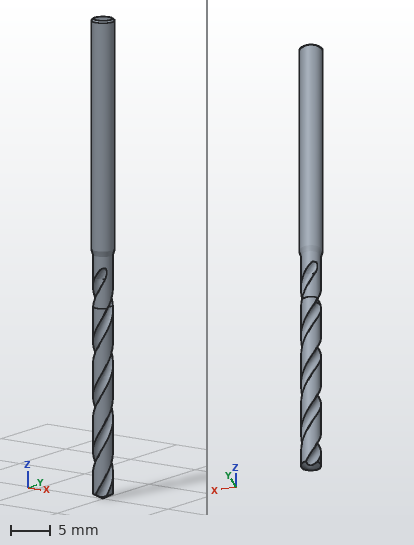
import cadquery as cq
import math

total_length = 62.0
joint_height = 24.8
neck_top = 31.5
shank_bottom = 32.25

shank_diameter = 3.0
drill_diameter = 2.55
point_angle = 125.0
chamfer_width = 0.3
chamfer_height = 0.25

flute_count = 2
flute_pitch = 14.15
flute_depth = 0.62
cutter_radius = 0.87
flute_start = -0.5
joint_overrun = 0.5
flute_end = 28.5
flute_end_angle = -79.0
runout_top = 30.0
runout_drift = 0.3

shank_radius = shank_diameter / 2
drill_radius = drill_diameter / 2
point_height = drill_radius / math.tan(math.radians(point_angle / 2))
cutter_distance = drill_radius - flute_depth + cutter_radius


def turn_about_z(shape, angle):
    return shape.rotate((0, 0, 0), (0, 0, 1), angle)


def cutting_blank():
    """Lower body before fluting: a plain rod with a conical point."""
    return (
        cq.Workplane("XZ")
        .lineTo(drill_radius, point_height)
        .lineTo(drill_radius, joint_height)
        .lineTo(0, joint_height)
        .close()
        .revolve(360, (0, 0), (0, 1))
    )


def shank_blank():
    """Upper body before fluting: the neck, the taper and the chamfered shank."""
    return (
        cq.Workplane("XZ")
        .moveTo(0, joint_height)
        .lineTo(drill_radius, joint_height)
        .lineTo(drill_radius, neck_top)
        .lineTo(shank_radius, shank_bottom)
        .lineTo(shank_radius, total_length - chamfer_height)
        .lineTo(shank_radius - chamfer_width, total_length)
        .lineTo(0, total_length)
        .close()
        .revolve(360, (0, 0), (0, 1))
    )


def helical_cutter(bottom, top, end_angle):
    """Round cutter twisted about Z, on the helix that reaches end_angle at flute_end."""
    turn_per_height = 360 / flute_pitch
    cutter = (
        cq.Workplane("XY")
        .pushPoints([(cutter_distance, 0)])
        .circle(cutter_radius)
        .twistExtrude(top - bottom, turn_per_height * (top - bottom))
        .translate((0, 0, bottom))
    )
    return turn_about_z(cutter, end_angle - turn_per_height * (flute_end - bottom))


def runout_cutter(end_angle):
    """Straight continuation of the cutter above the helix, ending level."""
    rise = runout_top - flute_end
    tangent_shift = rise * 2 * math.pi * cutter_distance / flute_pitch
    center = cq.Vector(cutter_distance, 0, flute_end)
    section = cq.Wire.makeCircle(cutter_radius, center, cq.Vector(0, 0, 1))
    cutter = cq.Solid.extrudeLinear(section, [], cq.Vector(runout_drift, tangent_shift, rise))
    return turn_about_z(cq.Workplane(cutter), end_angle)


cutting_part = cutting_blank()
shank = shank_blank()
for index in range(flute_count):
    angle = flute_end_angle + 360 * index / flute_count
    cutting_part = cutting_part.cut(helical_cutter(flute_start, joint_height + joint_overrun, angle))
    shank = shank.cut(helical_cutter(joint_height - joint_overrun, flute_end, angle))
    shank = shank.cut(runout_cutter(angle))

result = cq.Compound.makeCompound([cutting_part.solids().val(), shank.solids().val()])